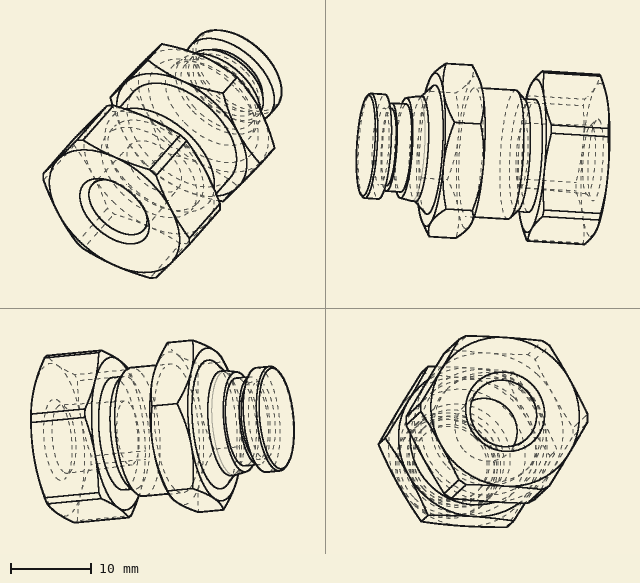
import cadquery as cq
import math

nut_top = 8.0
neck_top = 9.5
barrel_top = 15.7
flange_height = 5.0
flange_top = barrel_top + flange_height
shoulder_base = 22.22
shoulder_top = 22.72
taper_top = 24.15
sleeve_top = 25.98
collar_base = 26.9
overall_length = 28.9

neck_radius = 7.0
barrel_radius = 8.0
shoulder_radius = 6.5
taper_end_radius = 6.2
sleeve_radius = 5.45
stem_radius = 4.8
collar_radius = shoulder_radius
collar_chamfer = 0.25

across_flats = 19.0
flat_radius = across_flats / 2
corner_radius = flat_radius / math.cos(math.radians(30))
flange_chamfer_angle = 30.0
nut_corner_radius = 10.65
nut_chamfer_angle = 20.0

port_mouth_radius = 5.05
port_radius = 4.25
port_chamfer_depth = 0.8
port_depth = 9.25
port_taper = 1 / 32


def turned(profile):
    """Revolve a closed (radius, station) profile about the Y axis."""
    return cq.Workplane("XY").polyline(profile).close().revolve(360, (0, 0), (0, 1))


def chamfered_hexagon(base, top, outer_radius, chamfer_angle):
    """Hexagonal prism with corners trimmed to a radius and both ends cone chamfered."""
    drop = (outer_radius - flat_radius) * math.tan(math.radians(chamfer_angle))
    envelope = turned([
        (0, base),
        (flat_radius, base),
        (outer_radius, base + drop),
        (outer_radius, top - drop),
        (flat_radius, top),
        (0, top),
    ])
    prism = (
        cq.Workplane("XZ", origin=(0, base, 0))
        .polygon(6, 2 * corner_radius)
        .extrude(base - top)
    )
    return prism.intersect(envelope)


def turned_body():
    """Stepped core that carries the two hexagons and ends in the release collar."""
    chamfer_top = neck_top + barrel_radius - neck_radius
    return turned([
        (0, 0),
        (neck_radius, 0),
        (neck_radius, neck_top),
        (barrel_radius, chamfer_top),
        (barrel_radius, flange_top),
        (shoulder_radius, shoulder_base),
        (shoulder_radius, shoulder_top),
        (taper_end_radius, taper_top),
        (sleeve_radius, taper_top),
        (sleeve_radius, sleeve_top),
        (stem_radius, sleeve_top),
        (stem_radius, collar_base),
        (collar_radius, collar_base),
        (collar_radius, overall_length - collar_chamfer),
        (collar_radius - collar_chamfer, overall_length),
        (0, overall_length),
    ])


def threaded_port():
    """Cutter for the tapered blind port with a chamfered mouth."""
    floor_radius = port_radius - (port_depth - port_chamfer_depth) * port_taper
    return turned([
        (0, 0),
        (port_mouth_radius, 0),
        (port_radius, port_chamfer_depth),
        (floor_radius, port_depth),
        (0, port_depth),
    ])


nut = chamfered_hexagon(0, nut_top, nut_corner_radius, nut_chamfer_angle)
flange = chamfered_hexagon(barrel_top, flange_top, corner_radius, flange_chamfer_angle)

result = turned_body().union(nut).union(flange).cut(threaded_port())